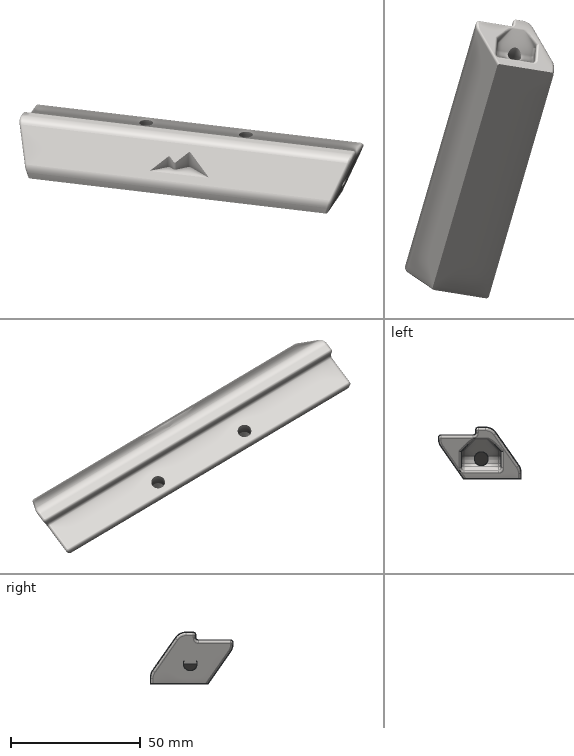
import cadquery as cq
import math

BOTTOM_LENGTH = 120.0
WIDTH = 31.88
HEIGHT = 20.0
LEDGE_HEIGHT = 17.0
STEP_Y = 17.5
LEAN = 55.0
FRONT_SLOPE_Z = 4.03
BACK_BOTTOM_Y = 22.2
LONG_EDGE_RADIUS = 5.0
STEP_RADIUS = 1.0
END_TILT = 20.0
END_EDGE_RADIUS = 0.99

LEDGE_HOLE_DIAMETER = 5.3
LEDGE_HOLE_X = 20.0
LEDGE_HOLE_Y = 26.2
LEDGE_HOLE_DEPTH = 6.0
DRILL_POINT = 90.0

POCKET_Y = 15.35
POCKET_HALF_WIDTH = 7.65
POCKET_SHOULDER_Z = 10.7
POCKET_TOP_Z = 17.0
POCKET_WALL_X = 58.5
WALL_TOP_Z = 8.45
WALL_BOTTOM_Z = 5.35
BEND_RADIUS = 1.7
POCKET_SIDE_RADIUS = 1.0
MOUTH_RADIUS = 1.0
END_HOLE_DIAMETER = 5.3
END_HOLE_Z = 7.8
END_HOLE_DEPTH = 8.0

RECESS_HALF_WIDTH = 11.9
RECESS_BASE_Y = 2.75
PEAK_XS = (-5.2, 2.6)
PEAK_SLOPE = 30.0
RECESS_FLOOR_TILT = 13.0
PEAK_RADIUS = 1.0

OVERSHOOT = 5.0
TOLERANCE = 0.01
LEAN_RISE = math.tan(math.radians(LEAN))
TILT_RUN = math.tan(math.radians(END_TILT))


def end_x(z):
    """Half-length of the bar at height z."""
    return BOTTOM_LENGTH / 2 + z * TILT_RUN


def front_slope_z(y):
    """Height of the front slope at depth y."""
    return FRONT_SLOPE_Z + y * LEAN_RISE


def end_face(bar, side):
    """Tilted end face on the -X (side = -1) or +X (side = 1) end."""
    tilt = math.radians(END_TILT)
    outward = cq.Vector(side * math.cos(tilt), 0, -math.sin(tilt))
    return max(bar.faces("%PLANE").vals(), key=lambda face: face.normalAt().dot(outward))


def make_bar():
    """Stepped, leaning bar with tilted ends and rounded edges."""
    section = [
        (0, 0),
        (0, FRONT_SLOPE_Z),
        ((HEIGHT - FRONT_SLOPE_Z) / LEAN_RISE, HEIGHT),
        (STEP_Y, HEIGHT),
        (STEP_Y, LEDGE_HEIGHT),
        (WIDTH, LEDGE_HEIGHT),
        (WIDTH, (WIDTH - BACK_BOTTOM_Y) * LEAN_RISE),
        (BACK_BOTTOM_Y, 0),
    ]
    half_stock = end_x(HEIGHT) + OVERSHOOT
    bar = cq.Workplane("YZ").workplane(offset=-half_stock).polyline(section).close().extrude(2 * half_stock)

    def edges_at(*corners):
        picked = [
            edge
            for edge in bar.edges("|X").vals()
            if any(math.dist((edge.Center().y, edge.Center().z), section[i]) < TOLERANCE for i in corners)
        ]
        return bar.newObject(picked)

    bar = edges_at(1, 2, 6).fillet(LONG_EDGE_RADIUS)
    bar = edges_at(3, 4, 5).fillet(STEP_RADIUS)
    ends = (
        cq.Workplane("XZ")
        .polyline([(-end_x(0), 0), (end_x(0), 0), (end_x(HEIGHT), HEIGHT), (-end_x(HEIGHT), HEIGHT)])
        .close()
        .extrude(-WIDTH)
    )
    bar = bar.intersect(ends)
    for side in (-1, 1):
        rim = [edge for edge in end_face(bar, side).outerWire().Edges() if edge.Center().z > TOLERANCE]
        bar = bar.newObject(rim).fillet(END_EDGE_RADIUS)
    return bar


def make_ledge_hole(x):
    """Blind drilled hole with a conical end."""
    radius = LEDGE_HOLE_DIAMETER / 2
    point_length = radius / math.tan(math.radians(DRILL_POINT / 2))
    return (
        cq.Workplane("XZ")
        .polyline([
            (0, LEDGE_HEIGHT),
            (radius, LEDGE_HEIGHT),
            (radius, LEDGE_HEIGHT - LEDGE_HOLE_DEPTH),
            (0, LEDGE_HEIGHT - LEDGE_HOLE_DEPTH - point_length),
        ])
        .close()
        .revolve(360, (0, 0), (0, 1))
        .translate((x, LEDGE_HOLE_Y, 0))
    )


def make_pocket():
    """Pocket in the -X end: its roof and floor run at 45 degrees to a vertical inner wall."""
    outer_x = -end_x(HEIGHT) - OVERSHOOT
    reach = -POCKET_WALL_X - outer_x
    side_view = (
        cq.Workplane("XZ")
        .polyline([
            (-POCKET_WALL_X, WALL_BOTTOM_Z),
            (-POCKET_WALL_X, WALL_TOP_Z),
            (outer_x, WALL_TOP_Z + reach),
            (outer_x, WALL_BOTTOM_Z - reach),
        ])
        .close()
        .extrude(-WIDTH)
    )
    around_wall = cq.selectors.BoxSelector(
        (-POCKET_WALL_X - 1, 0, 0),
        (-POCKET_WALL_X + 1, WIDTH, HEIGHT),
    )
    side_view = side_view.edges(around_wall).edges("|Y").fillet(BEND_RADIUS)
    top_half_width = POCKET_HALF_WIDTH - (POCKET_TOP_Z - POCKET_SHOULDER_Z)
    end_view = (
        cq.Workplane("YZ")
        .polyline([
            (-POCKET_HALF_WIDTH, -HEIGHT),
            (POCKET_HALF_WIDTH, -HEIGHT),
            (POCKET_HALF_WIDTH, POCKET_SHOULDER_Z),
            (top_half_width, POCKET_TOP_Z),
            (-top_half_width, POCKET_TOP_Z),
            (-POCKET_HALF_WIDTH, POCKET_SHOULDER_Z),
        ])
        .close()
        .extrude(outer_x)
        .translate((0, POCKET_Y, 0))
    )
    pocket = side_view.intersect(end_view)
    roof = max(pocket.faces().vals(), key=lambda face: face.normalAt().dot(cq.Vector(1, 0, 1)))
    side_edges = [edge for edge in roof.Edges() if abs(edge.Center().y - POCKET_Y) > POCKET_SIDE_RADIUS]
    pocket = pocket.newObject(side_edges).fillet(POCKET_SIDE_RADIUS)

    block = (
        cq.Workplane("XZ", origin=(0, -WIDTH, 0))
        .polyline([(-end_x(-HEIGHT), -HEIGHT), (0, -HEIGHT), (0, 2 * HEIGHT), (-end_x(2 * HEIGHT), 2 * HEIGHT)])
        .close()
        .extrude(-3 * WIDTH)
    )
    pocketed = block.cut(pocket)
    mouth = end_face(pocketed, -1).innerWires()[0]
    return block.cut(pocketed.newObject(mouth.Edges()).fillet(MOUTH_RADIUS))


def make_end_hole():
    """Horizontal blind hole behind the -X pocket, ending in a face parallel to the pocket roof."""
    radius = END_HOLE_DIAMETER / 2
    hole_end_x = -POCKET_WALL_X + END_HOLE_DEPTH
    outer_x = -end_x(END_HOLE_Z)
    bore = cq.Workplane("YZ", origin=(outer_x, POCKET_Y, END_HOLE_Z)).circle(radius).extrude(-outer_x)
    side_view = (
        cq.Workplane("XZ")
        .polyline([
            (outer_x, END_HOLE_Z - radius),
            (hole_end_x + radius, END_HOLE_Z - radius),
            (hole_end_x - radius, END_HOLE_Z + radius),
            (outer_x, END_HOLE_Z + radius),
        ])
        .close()
        .extrude(-WIDTH)
    )
    return bore.intersect(side_view)


def make_recess():
    """Vertical-walled recess shaped like two peaks, with a floor rising toward the back."""
    rise = math.tan(math.radians(PEAK_SLOPE))
    heights = [(RECESS_HALF_WIDTH - abs(x)) * rise for x in PEAK_XS]
    valley_x = (sum(PEAK_XS) + (heights[0] - heights[1]) / rise) / 2
    valley_height = heights[0] - (valley_x - PEAK_XS[0]) * rise
    base_z = front_slope_z(RECESS_BASE_Y)
    outline = [
        (-RECESS_HALF_WIDTH, 0),
        (RECESS_HALF_WIDTH, 0),
        (PEAK_XS[1], heights[1]),
        (valley_x, valley_height),
        (PEAK_XS[0], heights[0]),
    ]
    behind_base = cq.selectors.BoxSelector(
        (-RECESS_HALF_WIDTH, valley_height / 2, 0),
        (RECESS_HALF_WIDTH, WIDTH, 2 * HEIGHT),
    )
    recess = (
        cq.Workplane("XY")
        .polyline(outline)
        .close()
        .extrude(2 * HEIGHT)
        .edges("|Z")
        .edges(behind_base)
        .fillet(PEAK_RADIUS)
        .translate((0, RECESS_BASE_Y, 0))
    )
    floor_rise = WIDTH * math.tan(math.radians(RECESS_FLOOR_TILT))
    above_floor = (
        cq.Workplane("YZ")
        .polyline([(0, 0), (WIDTH, floor_rise), (WIDTH, 2 * HEIGHT), (0, 2 * HEIGHT)])
        .close()
        .extrude(RECESS_HALF_WIDTH, both=True)
        .translate((0, RECESS_BASE_Y, base_z))
    )
    return recess.intersect(above_floor)


result = make_bar()
for hole_x in (-LEDGE_HOLE_X, LEDGE_HOLE_X):
    result = result.cut(make_ledge_hole(hole_x))
result = result.cut(make_recess())
for side in (-1, 1):
    pocket = make_pocket()
    end_hole = make_end_hole()
    if side == 1:
        pocket = pocket.mirror("YZ")
        end_hole = end_hole.mirror("YZ")
    result = result.cut(pocket)
    result = result.cut(end_hole)